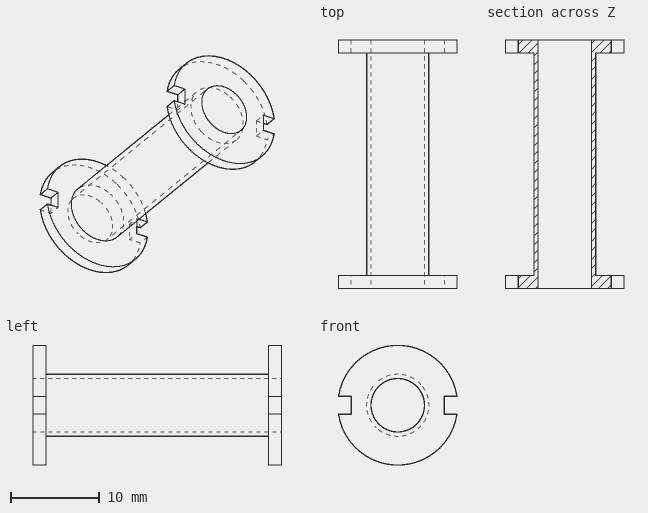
import cadquery as cq

length = 28.0
flange_diameter = 13.5
flange_thickness = 1.5
tube_diameter = 7.0
bore_diameter = 6.0
notch_width = 2.0
notch_floor_spacing = 10.5


def cylinder(diameter, height, start_y):
    """Cylinder along +Y that begins at start_y."""
    plane = cq.Workplane("XZ", origin=(0, start_y, 0))
    return plane.circle(diameter / 2).extrude(-height)


def notched_flange(start_y):
    """Disc with a square notch on each X side."""
    disc = cylinder(flange_diameter, flange_thickness, start_y)
    notch_length = flange_diameter - notch_floor_spacing
    notch_center_x = (notch_floor_spacing + notch_length) / 2
    notches = (
        cq.Workplane("XZ", origin=(0, start_y, 0))
        .pushPoints([(-notch_center_x, 0), (notch_center_x, 0)])
        .rect(notch_length, notch_width)
        .extrude(-flange_thickness)
    )
    return disc.cut(notches)


front_y = -length / 2
back_flange_y = length / 2 - flange_thickness
spool = cylinder(tube_diameter, length, front_y)
for flange_y in (front_y, back_flange_y):
    spool = spool.union(notched_flange(flange_y))
result = spool.cut(cylinder(bore_diameter, length, front_y))